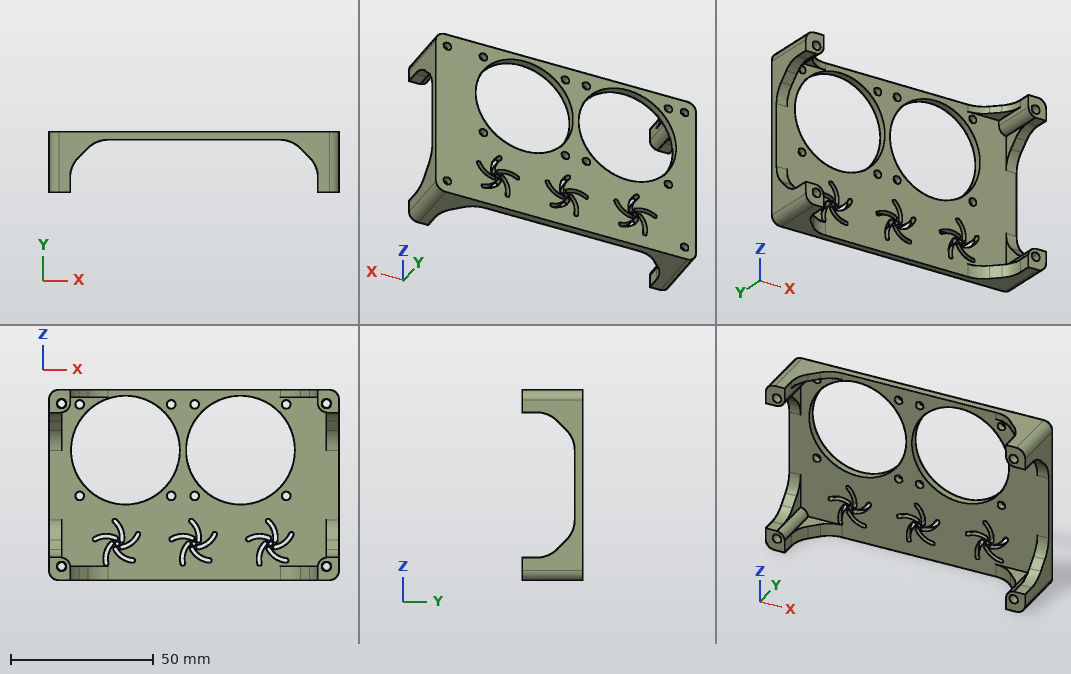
import cadquery as cq

LENGTH = 101.7
DEPTH = 21.4
HEIGHT = 66.8
CORNER_RADIUS = 3.6
PLATE_THICKNESS = 3.0

SIDE_WALL = 4.5
TOP_WALL = 2.7
BOTTOM_WALL = 5.0

POST_X = 7.5
POST_Z = 8.0
POST_ROUND = 3.5
POST_HOLE_INSET_X = 4.5
POST_HOLE_INSET_Z = 4.9
POST_HOLE_DIAMETER = 3.4
PLATE_HOLE_DIAMETER = 3.0

GUSSET_SIZE = 9.1
GUSSET_BLEND = 10.0

FAN_DIAMETER = 38.0
FAN_CENTERS_X = (-24.0, 16.3)
FAN_CENTER_Z = 12.2
FAN_SCREW_PITCH = 32.0
FAN_SCREW_DIAMETER = 3.0

VENT_PITCH = 26.8
VENT_CENTER_Z = -20.5
VENT_HUB_DIAMETER = 1.5
BLADE_COUNT = 5
BLADE_WIDTH = 1.5
BLADE_INNER = (1.6, 1.1)
BLADE_MIDDLE = (1.2, 4.8)
BLADE_OUTER = (-0.9, 7.9)

FRONT_Y = -DEPTH / 2
BACK_Y = DEPTH / 2
PLATE_FRONT_Y = BACK_Y - PLATE_THICKNESS
POST_LENGTH = DEPTH - PLATE_THICKNESS


def front_plane(y):
    """Plane facing -Y, with local x along X and local y along Z."""
    return cq.Workplane("XZ", origin=(0, y, 0))


def make_block():
    block = cq.Workplane("XY").box(LENGTH, DEPTH, HEIGHT)
    return block.edges("|Y").fillet(CORNER_RADIUS)


def make_cavity():
    """Space in front of the panel, inside the rim walls and around the posts."""
    width = LENGTH - 2 * SIDE_WALL
    height = HEIGHT - TOP_WALL - BOTTOM_WALL
    center_z = (BOTTOM_WALL - TOP_WALL) / 2
    cavity = front_plane(PLATE_FRONT_Y).center(0, center_z).rect(width, height).extrude(POST_LENGTH)
    posts = (
        front_plane(PLATE_FRONT_Y)
        .rect(LENGTH, HEIGHT, forConstruction=True)
        .vertices()
        .rect(2 * POST_X, 2 * POST_Z)
        .extrude(POST_LENGTH)
        .edges("|Y")
        .fillet(POST_ROUND)
    )
    return cavity.cut(posts)


def make_wall_opening(span, through):
    """Gap between two posts, spanning X and passing through along Z, with blended 45 degree corners."""
    gap = cq.Workplane("XY").box(span, POST_LENGTH, through)
    gap = gap.translate((0, FRONT_Y + POST_LENGTH / 2, 0))
    gap = gap.edges("|Z and >Y").chamfer(GUSSET_SIZE)
    return gap.edges("|Z and (not <Y)").fillet(GUSSET_BLEND)


def make_post_holes():
    """Screw holes along the posts, narrower where they pass through the panel."""
    spacing_x = LENGTH - 2 * POST_HOLE_INSET_X
    spacing_z = HEIGHT - 2 * POST_HOLE_INSET_Z

    def holes(y, diameter, depth):
        corners = front_plane(y).rect(spacing_x, spacing_z, forConstruction=True).vertices()
        return corners.circle(diameter / 2).extrude(depth)

    through = holes(BACK_Y, PLATE_HOLE_DIAMETER, DEPTH)
    return through.union(holes(PLATE_FRONT_Y, POST_HOLE_DIAMETER, POST_LENGTH))


def make_fan_opening(center_x):
    """Round fan opening with four screw holes around it."""
    start = front_plane(BACK_Y).center(center_x, FAN_CENTER_Z)
    opening = start.circle(FAN_DIAMETER / 2).extrude(PLATE_THICKNESS)
    screws = (
        start.rect(FAN_SCREW_PITCH, FAN_SCREW_PITCH, forConstruction=True)
        .vertices()
        .circle(FAN_SCREW_DIAMETER / 2)
        .extrude(PLATE_THICKNESS)
    )
    return opening.union(screws)


def make_vent(center_x):
    """Hub hole with curved round-ended slots around it."""
    start = front_plane(BACK_Y).center(center_x, VENT_CENTER_Z)
    vent = start.circle(VENT_HUB_DIAMETER / 2).extrude(PLATE_THICKNESS)
    center_line = cq.Edge.makeThreePointArc(
        cq.Vector(*BLADE_INNER), cq.Vector(*BLADE_MIDDLE), cq.Vector(*BLADE_OUTER)
    )
    outline = cq.Wire.assembleEdges([center_line]).offset2D(BLADE_WIDTH / 2)[0]
    for index in range(BLADE_COUNT):
        angle = index * 360 / BLADE_COUNT
        turned = outline.rotate(cq.Vector(0, 0, 0), cq.Vector(0, 0, 1), angle)
        blade = start.newObject([turned.moved(start.plane.location)]).toPending()
        vent = vent.union(blade.extrude(PLATE_THICKNESS))
    return vent


result = make_block().cut(make_cavity())

top_bottom_opening = make_wall_opening(LENGTH - 2 * POST_X, HEIGHT)
side_opening = make_wall_opening(HEIGHT - 2 * POST_Z, LENGTH).rotate((0, 0, 0), (0, 1, 0), 90)
result = result.cut(top_bottom_opening).cut(side_opening)

result = result.cut(make_post_holes())
for fan_x in FAN_CENTERS_X:
    result = result.cut(make_fan_opening(fan_x))
for vent_x in (-VENT_PITCH, 0, VENT_PITCH):
    result = result.cut(make_vent(vent_x))